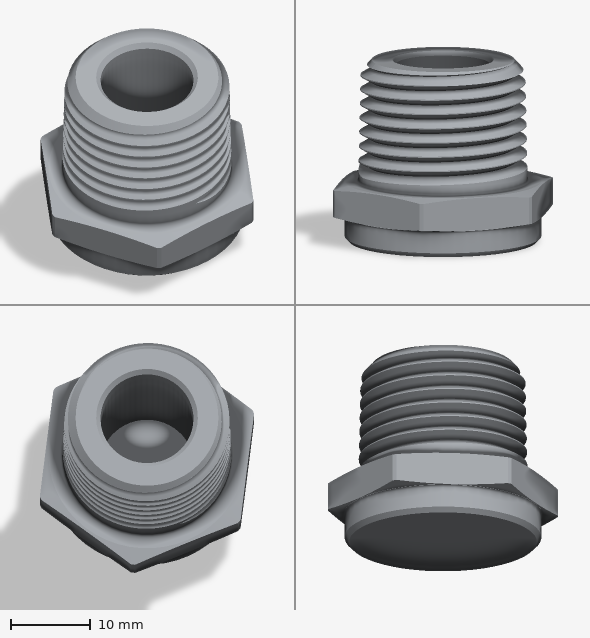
import cadquery as cq
import math

total_height = 23.1
hex_bottom = 3.4
hex_top = 7.63

across_flats = 25.4
across_corners = 29.02
hex_face_radius = 12.4
hex_chamfer_height = 0.4

disc_radius = 12.35
disc_chamfer = 0.58
neck_radius = 10.65
fillet_radius = 0.25
top_chamfer_radius = 8.97
top_chamfer_height = 1.55
taper_base = hex_top + fillet_radius

thread_pitch = 1.815
thread_turns = 7.75
thread_start = 9.45
thread_depth = 1.45
thread_half_angle = 30.0
taper_slope = 1 / 48
cut_margin = 0.044
runout_length = 6.38
runout_overlap = 0.3

bore_radius = 5.83
bore_chamfer = 0.55
plug_height = hex_bottom


def make_hex_flange():
    """Hexagon with corners on X, rounded and chamfered on both faces."""
    corner_radius = across_corners / 2
    sharp_diameter = across_flats / math.cos(math.pi / 6)
    prism = (
        cq.Workplane("XY")
        .workplane(offset=hex_bottom)
        .polygon(6, sharp_diameter)
        .extrude(hex_top - hex_bottom)
    )
    turned_blank = (
        cq.Workplane("XZ")
        .moveTo(0, hex_bottom)
        .lineTo(hex_face_radius, hex_bottom)
        .lineTo(corner_radius, hex_bottom + hex_chamfer_height)
        .lineTo(corner_radius, hex_top - hex_chamfer_height)
        .lineTo(hex_face_radius, hex_top)
        .lineTo(0, hex_top)
        .close()
        .revolve()
    )
    return prism.intersect(turned_blank)


def crest_radius_at(height):
    """Radius of the tapered neck at a height."""
    return neck_radius - taper_slope * (height - taper_base)


def make_turned_core():
    """Lower disc, plain neck and tapered thread blank as one turned shape."""
    chamfer_base = total_height - top_chamfer_height
    fillet_mid = fillet_radius * (1 - math.sqrt(0.5))
    return (
        cq.Workplane("XZ")
        .lineTo(disc_radius - disc_chamfer, 0)
        .lineTo(disc_radius, disc_chamfer)
        .lineTo(disc_radius, hex_bottom - fillet_radius)
        .threePointArc(
            (disc_radius + fillet_mid, hex_bottom - fillet_mid),
            (disc_radius + fillet_radius, hex_bottom),
        )
        .lineTo(neck_radius + fillet_radius, hex_top)
        .threePointArc(
            (neck_radius + fillet_mid, hex_top + fillet_mid),
            (neck_radius, taper_base),
        )
        .lineTo(crest_radius_at(chamfer_base), chamfer_base)
        .lineTo(top_chamfer_radius, total_height)
        .lineTo(0, total_height)
        .close()
        .revolve()
    )


def make_groove_profile(height):
    """V section of the thread groove at +X, centred on a height."""
    outer_radius = crest_radius_at(height) + cut_margin
    root_radius = crest_radius_at(height) - thread_depth
    half_width = (outer_radius - root_radius) * math.tan(math.radians(thread_half_angle))
    return (
        cq.Workplane("XZ")
        .moveTo(root_radius, height)
        .lineTo(outer_radius, height + half_width)
        .lineTo(outer_radius, height - half_width)
        .close()
    )


def make_thread_cutter():
    """V-shaped groove swept down a conical helix that widens toward the flange."""
    helix_height = thread_turns * thread_pitch
    helix_top = thread_start + helix_height
    helix = cq.Wire.makeHelix(
        thread_pitch,
        helix_height,
        crest_radius_at(helix_top),
        center=cq.Vector(0, 0, helix_top),
        dir=cq.Vector(0, 0, -1),
        angle=math.degrees(math.atan(taper_slope)),
    )
    start = helix.startPoint()
    turn_to_x = -math.degrees(math.atan2(start.y, start.x))
    helix = helix.rotate(cq.Vector(0, 0, 0), cq.Vector(0, 0, 1), turn_to_x)
    cutter = make_groove_profile(helix_top).sweep(cq.Workplane(helix), isFrenet=True)
    return cutter.rotate((0, 0, 0), (0, 0, 1), 360 * thread_turns)


def make_runout_cutter():
    """Straight tangential run-out from the lower end of the groove toward -Y."""
    groove = make_groove_profile(thread_start).extrude(runout_length)
    return groove.translate((0, runout_overlap, 0))


def make_bore_cutter():
    """Through bore with a chamfered mouth at the top."""
    return (
        cq.Workplane("XZ")
        .lineTo(bore_radius, 0)
        .lineTo(bore_radius, total_height - bore_chamfer)
        .lineTo(bore_radius + bore_chamfer, total_height)
        .lineTo(0, total_height)
        .close()
        .revolve()
    )


def make_housing():
    blank = make_turned_core().union(make_hex_flange())
    return blank.cut(make_thread_cutter()).cut(make_runout_cutter()).cut(make_bore_cutter())


def make_plug():
    """Plain round plug that fills the bottom of the bore."""
    return cq.Workplane("XY").circle(bore_radius).extrude(plug_height)


housing = make_housing()
plug = make_plug()

result = cq.Compound.makeCompound([housing.solids().val(), plug.val()])